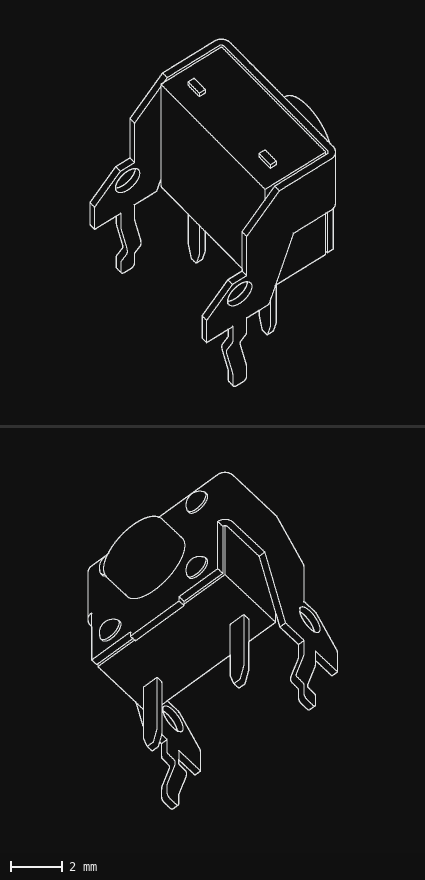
import cadquery as cq
import math


body_width = 6.6
body_depth = 3.0
body_height = 6.5
top = body_height / 2
bottom = -top

sheet = 0.3
clearance = 0.1
bracket_width = 7.4
side = bracket_width / 2
bend_inner_radius = 0.13
bend_outer_radius = bend_inner_radius + sheet
body_back = -(sheet + clearance)

arm_top_depth = 3.0
ear_step_depth = 5.32
arm_depth = 6.6
notch_depth = 2.3
arm_foot_depth = 3.52
ear_step_z = -0.86
ear_corner_z = ear_step_z - (arm_depth - ear_step_depth)
arm_bottom = bottom - sheet
ear_hole_diameter = 1.2
ear_hole_depth = 4.96
ear_hole_z = -1.74
leg_width = 0.68
arm_middle_depth = ear_hole_depth - leg_width / 2

tongue_width = 2.53

leg_bottom = -7.45
leg_corner_radius = 0.2
kink_z = -5.54
kink_half_height = 1.01
kink_offset = 0.44
kink_inner_radius = 0.3

pin_spacing = 4.5
pin_width = 0.72
pin_thickness = 0.3
pin_front = -2.6
pin_top = top + 0.22
pin_bottom = bottom - 4.28
pin_tip_height = 0.75
pin_tip_width = 0.33
pin_tip_radius = 0.05

button_diameter = 3.14
button_length = 1.3
button_edge_radius = 0.1
rivet_spacing = 4.5
rivet_neck_diameter = 0.8
rivet_head_diameter = 1.0
rivet_rim = 0.1
rivet_dome_height = 0.33


def box(x_range, y_range, z_range):
    """Box between the given pairs of limits."""
    (x0, x1), (y0, y1), (z0, z1) = x_range, y_range, z_range
    return cq.Workplane("XY").box(x1 - x0, y1 - y0, z1 - z0, centered=False).translate((x0, y0, z0))


def disc(diameter, x, z, y_start, y_end):
    """Round bar along Y from y_start to y_end."""
    plane = cq.Plane(origin=(x, y_start, z), xDir=(1, 0, 0), normal=(0, 1, 0))
    return cq.Workplane(plane).circle(diameter / 2).extrude(y_end - y_start)


def make_body():
    half = body_width / 2
    return box((-half, half), (body_back - body_depth, body_back), (bottom, top))


def make_bracket():
    height_range = (arm_bottom, top)
    inside = side - sheet
    channel = box((-side, side), (-arm_depth, 0), height_range)
    channel = channel.edges("|Z and >Y").fillet(bend_outer_radius)
    cavity = box((-inside, inside), (-arm_depth, -sheet), height_range)
    cavity = cavity.edges("|Z and >Y").fillet(bend_inner_radius)
    channel = channel.cut(cavity)

    outline = [
        (0, top),
        (-arm_top_depth, top),
        (-arm_middle_depth, top - (arm_middle_depth - arm_top_depth)),
        (-arm_middle_depth, ear_step_z),
        (-ear_step_depth, ear_step_z),
        (-arm_depth, ear_corner_z),
        (-arm_depth, arm_bottom),
        (-arm_foot_depth, arm_bottom),
        (-notch_depth, 0),
        (0, 0),
    ]
    profile = cq.Workplane("YZ").polyline(outline).close().extrude(side, both=True)
    ear_hole = (
        cq.Workplane("YZ")
        .center(-ear_hole_depth, ear_hole_z)
        .circle(ear_hole_diameter / 2)
        .extrude(side, both=True)
    )
    arms = channel.intersect(profile).cut(ear_hole)

    plate_half = side - bend_outer_radius
    lower_plate = box((-plate_half, plate_half), (-sheet, 0), (bottom, 0))
    tongue = box((-tongue_width / 2, tongue_width / 2), (-sheet, 0), (arm_bottom, bottom))
    return arms.union(lower_plate).union(tongue)


def make_leg():
    """Leg below the -X arm: a strip of constant thickness with three rounded bends."""
    slope = math.atan2(kink_offset, kink_half_height)
    miter = sheet * math.tan(slope / 2)
    kink_top = kink_z + kink_half_height
    kink_bottom = kink_z - kink_half_height
    outer = -side
    inner = outer + sheet
    peak_outer = outer + kink_offset
    peak_inner = peak_outer + sheet / math.cos(slope)
    outline = [
        (outer, arm_bottom),
        (outer, kink_top),
        (peak_outer, kink_z),
        (outer, kink_bottom),
        (outer, leg_bottom),
        (inner, leg_bottom),
        (inner, kink_bottom - miter),
        (peak_inner, kink_z),
        (inner, kink_top + miter),
        (inner, arm_bottom),
    ]
    leg_front = -ear_hole_depth - leg_width / 2
    plane = cq.Plane(origin=(0, leg_front, 0), xDir=(1, 0, 0), normal=(0, -1, 0))
    leg = cq.Workplane(plane).polyline(outline).close().extrude(-leg_width)

    def bend_edges(points):
        """Selector for the edges along Y through the given (x, z) points."""
        reach = 0.01
        boxes = [
            cq.selectors.BoxSelector(
                (x - reach, leg_front, z - reach),
                (x + reach, leg_front + leg_width, z + reach),
            )
            for x, z in points
        ]
        return boxes[0] + boxes[1] + boxes[2]

    inside_bends = [outline[2], outline[6], outline[8]]
    outside_bends = [outline[1], outline[3], outline[7]]
    leg = leg.edges(bend_edges(inside_bends)).fillet(kink_inner_radius)
    leg = leg.edges(bend_edges(outside_bends)).fillet(kink_inner_radius + sheet)
    return leg.faces("<Z").edges("|X").fillet(leg_corner_radius)


def make_pin(x):
    shoulder = pin_bottom + pin_tip_height
    half = pin_width / 2
    tip_half = pin_tip_width / 2
    outline = [
        (x - half, pin_top),
        (x + half, pin_top),
        (x + half, shoulder),
        (x + tip_half, pin_bottom),
        (x - tip_half, pin_bottom),
        (x - half, shoulder),
    ]
    plane = cq.Plane(origin=(0, pin_front, 0), xDir=(1, 0, 0), normal=(0, -1, 0))
    pin = cq.Workplane(plane).polyline(outline).close().extrude(-pin_thickness)
    return pin.faces("<Z").edges("|Y").fillet(pin_tip_radius)


def make_button():
    button = disc(button_diameter, 0, 0, body_back, button_length)
    return button.faces(">Y").edges().fillet(button_edge_radius)


def make_rivet(x, z):
    """Neck from the body through the back plate, with a low domed head outside."""
    head_radius = rivet_head_diameter / 2
    crown = rivet_rim + rivet_dome_height
    sphere_radius = (head_radius**2 + rivet_dome_height**2) / (2 * rivet_dome_height)
    dome = cq.Workplane("XY").sphere(sphere_radius).translate((x, crown - sphere_radius, z))
    head = disc(rivet_head_diameter, x, z, 0, crown).intersect(dome)
    rim = disc(rivet_head_diameter, x, z, 0, rivet_rim)
    neck = disc(rivet_neck_diameter, x, z, body_back, 0)
    return neck.union(rim).union(head)


left_leg = make_leg()
result = make_body().union(make_bracket()).union(make_button())
result = result.union(left_leg).union(left_leg.mirror("YZ"))
for direction in (-1, 1):
    result = result.union(make_pin(direction * pin_spacing / 2))
    for level in (-1, 1):
        result = result.union(make_rivet(direction * rivet_spacing / 2, level * rivet_spacing / 2))